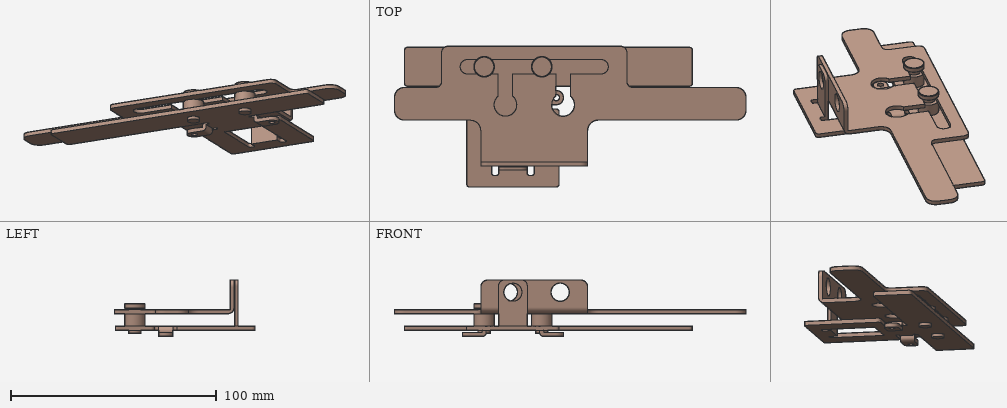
import cadquery as cq
import math

SHEET = 2.0
SPACER_HEIGHT = 6.0
SLIDE_BOTTOM = SHEET + SPACER_HEIGHT
SLIDE_TOP = SLIDE_BOTTOM + SHEET
UPRIGHT_TOP = 24.5

SLIDE_HALF_WIDTH = 45.0
WING_LEFT = -68.0
WING_LENGTH = 171.0
WING_RIGHT = WING_LEFT + WING_LENGTH
WING_REAR = -20.0
WING_FRONT = -36.0
WING_RADIUS = 5.0
REAR_CORNER_RADIUS = 3.0
FLANGE_HALF_WIDTH = 26.0
FLANGE_FACE = -58.25
BEND_RADIUS = 3.0
FLANGE_CORNER_RADIUS = 3.5
FLANGE_HOLE_SPACING = 25.2
EAR_HOLE_DIAMETER = 8.75
EAR_HOLE_DROP = 6.0

SLOT_LENGTH = 72.0
SLOT_WIDTH = 7.0
KEYHOLE_SPACING = 28.0
KEYHOLE_DIAMETER = 11.0
KEYHOLE_Y = -28.5

BASE_CENTER_X = -10.35
BASE_REAR = -0.5
BASE_LENGTH = 68.0
BASE_FRONT = BASE_REAR - BASE_LENGTH
STRIP_WIDTH = 19.0
STRIP_LENGTH = 140.0
STRIP_OVERHANG = 52.75
STRIP_LEFT = BASE_CENTER_X - STRIP_OVERHANG
PAD_WIDTH = 45.0
PAD_REAR = -30.5
BASE_CORNER_RADIUS = 1.5
ARM_HALF_WIDTH = 12.0

TAB_WIDTH = 14.0
TAB_GAP = 0.25
TAB_REAR = FLANGE_FACE - TAB_GAP
TAB_THICKNESS = 1.75
TAB_CORNER_RADIUS = 3.0
RELIEF_WIDTH = 3.25
RELIEF_FRONT = -62.8
RELIEF_RADIUS = 1.0
WINDOW_WIDTH = TAB_WIDTH + 2 * RELIEF_WIDTH
WINDOW_REAR = TAB_REAR + UPRIGHT_TOP - SHEET

HOOK_WIDTH = 7.0
HOOK_Y = (BASE_REAR - STRIP_WIDTH + PAD_REAR) / 2
HOOK_REACH = 24.6
HOOK_UPPER_RADIUS = 3.0
HOOK_LOWER_RADIUS = 1.75
HOOK_HOLE_DIAMETER = 3.0

PIN_SPACING = KEYHOLE_SPACING
PIN_Y = BASE_REAR - STRIP_WIDTH / 2
PIN_DIAMETER = 10.0
PIN_NECK_DIAMETER = 6.0
PIN_TAIL = 1.5
HEAD_BOTTOM = 10.5
HEAD_TOP = 13.0
HEAD_CHAMFER = 0.3
PIN_XS = [BASE_CENTER_X + side * PIN_SPACING / 2 for side in (-1, 1)]


def block(x0, x1, y0, y1, z0, z1):
    """Axis-aligned box between two opposite corners."""
    return cq.Workplane("XY").box(x1 - x0, y1 - y0, z1 - z0, centered=False).translate((x0, y0, z0))


def disc(x, y, z0, z1, diameter):
    """Vertical cylinder from z0 to z1."""
    return cq.Workplane("XY").workplane(offset=z0).center(x, y).circle(diameter / 2).extrude(z1 - z0)


def round_corners(plate, corners, radius, z):
    """Fillet the upright edges nearest to the given (x, y) corners at height z."""
    for x, y in corners:
        corner_edge = cq.selectors.NearestToPointSelector((x, y, z))
        plate = plate.edges("|Z").edges(corner_edge).fillet(radius)
    return plate


def upright(center_x, width, front, rear, bottom, corner_radius):
    """Standing sheet with rounded top corners."""
    sheet = block(center_x - width / 2, center_x + width / 2, front, rear, bottom, UPRIGHT_TOP)
    return sheet.edges("|Y and >Z").fillet(corner_radius)


def ear_hole(x):
    """Cutter for a hole along Y through an upright."""
    profile = cq.Workplane("XZ").center(x, UPRIGHT_TOP - EAR_HOLE_DROP).circle(EAR_HOLE_DIAMETER / 2)
    return profile.extrude(BASE_LENGTH)


def make_slide_outline():
    """Flat part of the slide plate: rear body, two wings and a neck to the flange."""
    body = block(-SLIDE_HALF_WIDTH, SLIDE_HALF_WIDTH, WING_FRONT, 0, SLIDE_BOTTOM, SLIDE_TOP)
    wings = block(WING_LEFT, WING_RIGHT, WING_FRONT, WING_REAR, SLIDE_BOTTOM, SLIDE_TOP)
    neck = block(-FLANGE_HALF_WIDTH, FLANGE_HALF_WIDTH, FLANGE_FACE, WING_FRONT, SLIDE_BOTTOM, SLIDE_TOP)
    plate = body.union(wings).union(neck).clean()

    rear_corners = [(x, y) for x in (-SLIDE_HALF_WIDTH, SLIDE_HALF_WIDTH) for y in (0, WING_REAR)]
    wing_corners = [(x, y) for x in (WING_LEFT, WING_RIGHT) for y in (WING_REAR, WING_FRONT)]
    neck_corners = [(x, WING_FRONT) for x in (-FLANGE_HALF_WIDTH, FLANGE_HALF_WIDTH)]
    middle = (SLIDE_BOTTOM + SLIDE_TOP) / 2
    plate = round_corners(plate, rear_corners, REAR_CORNER_RADIUS, middle)
    return round_corners(plate, wing_corners + neck_corners, WING_RADIUS, middle)


def make_slot_cutter():
    """Long slot with two keyholes branching off toward the front."""
    cutter = (
        cq.Workplane("XY")
        .workplane(offset=SLIDE_BOTTOM)
        .center(0, PIN_Y)
        .slot2D(SLOT_LENGTH, SLOT_WIDTH)
        .extrude(SHEET)
    )
    for side in (-1, 1):
        x = side * KEYHOLE_SPACING / 2
        branch = block(x - SLOT_WIDTH / 2, x + SLOT_WIDTH / 2, KEYHOLE_Y, PIN_Y, SLIDE_BOTTOM, SLIDE_TOP)
        cutter = cutter.union(branch)
        cutter = cutter.union(disc(x, KEYHOLE_Y, SLIDE_BOTTOM, SLIDE_TOP, KEYHOLE_DIAMETER))
    return cutter


def make_slide_plate():
    flange_rear = FLANGE_FACE + SHEET
    flange_width = 2 * FLANGE_HALF_WIDTH
    flange = upright(0, flange_width, FLANGE_FACE, flange_rear, SLIDE_BOTTOM, FLANGE_CORNER_RADIUS)
    plate = make_slide_outline().union(flange)

    outer_edge = cq.selectors.NearestToPointSelector((0, FLANGE_FACE, SLIDE_BOTTOM))
    plate = plate.edges("|X").edges(outer_edge).fillet(BEND_RADIUS)

    plate = plate.cut(make_slot_cutter())
    for side in (-1, 1):
        plate = plate.cut(ear_hole(side * FLANGE_HOLE_SPACING / 2))
    return plate


def make_base_outline():
    """Flat base: a long rear strip joined to the front pad by a narrower neck."""
    pad_left = BASE_CENTER_X - PAD_WIDTH / 2
    pad_right = BASE_CENTER_X + PAD_WIDTH / 2
    arm_left = BASE_CENTER_X - ARM_HALF_WIDTH
    arm_right = BASE_CENTER_X + ARM_HALF_WIDTH
    strip_right = STRIP_LEFT + STRIP_LENGTH
    strip_front = BASE_REAR - STRIP_WIDTH

    strip = block(STRIP_LEFT, strip_right, strip_front, BASE_REAR, 0, SHEET)
    neck = block(arm_left, arm_right, PAD_REAR, strip_front, 0, SHEET)
    pad = block(pad_left, pad_right, BASE_FRONT, PAD_REAR, 0, SHEET)
    plate = strip.union(neck).union(pad)

    strip_corners = [(x, y) for x in (STRIP_LEFT, strip_right) for y in (BASE_REAR, strip_front)]
    pad_corners = [(x, y) for x in (pad_left, pad_right) for y in (PAD_REAR, BASE_FRONT)]
    return round_corners(plate, strip_corners + pad_corners, BASE_CORNER_RADIUS, SHEET / 2)


def make_window_cutter():
    """Opening left by the bent-up tab, with a relief slot on each side of it."""
    left = BASE_CENTER_X - WINDOW_WIDTH / 2
    right = BASE_CENTER_X + WINDOW_WIDTH / 2
    cutter = block(left, right, TAB_REAR, WINDOW_REAR, 0, SHEET)
    for x in (left, right - RELIEF_WIDTH):
        relief = block(x, x + RELIEF_WIDTH, RELIEF_FRONT, TAB_REAR, 0, SHEET)
        cutter = cutter.union(relief.edges("|Z and <Y").fillet(RELIEF_RADIUS))
    return cutter


def make_hook(side):
    """Hook on one side (-1 or 1): bent down from the neck, then out to a rounded foot with a hole."""
    leg_outer = ARM_HALF_WIDTH + HOOK_UPPER_RADIUS
    leg_inner = leg_outer - SHEET
    foot_center = HOOK_REACH - HOOK_WIDTH / 2
    foot_top = SHEET - HOOK_UPPER_RADIUS
    foot_bottom = foot_top - SHEET

    diagonal = math.sqrt(0.5)
    lower_offset = HOOK_LOWER_RADIUS * (1 - diagonal)
    lower_mid = (leg_inner + lower_offset, foot_bottom + lower_offset)
    upper_offset = HOOK_UPPER_RADIUS * (1 - diagonal)
    upper_mid = (leg_outer - upper_offset, SHEET - upper_offset)

    hook = (
        cq.Workplane("XZ", origin=(0, HOOK_Y, 0))
        .moveTo(ARM_HALF_WIDTH, 0)
        .lineTo(leg_inner, 0)
        .lineTo(leg_inner, foot_bottom + HOOK_LOWER_RADIUS)
        .threePointArc(lower_mid, (leg_inner + HOOK_LOWER_RADIUS, foot_bottom))
        .lineTo(foot_center, foot_bottom)
        .lineTo(foot_center, foot_top)
        .lineTo(leg_outer, foot_top)
        .threePointArc(upper_mid, (ARM_HALF_WIDTH, SHEET))
        .close()
        .extrude(HOOK_WIDTH / 2, both=True)
    )
    hook = hook.union(disc(foot_center, HOOK_Y, foot_bottom, foot_top, HOOK_WIDTH))
    hook = hook.cut(disc(foot_center, HOOK_Y, foot_bottom, foot_top, HOOK_HOLE_DIAMETER))
    if side < 0:
        hook = hook.mirror("YZ")
    return hook.translate((BASE_CENTER_X, 0, 0))


def cut_hook_notches(plate, side):
    """Round the ends of the two gaps that part a hook from the strip and the pad."""
    gap = (BASE_REAR - STRIP_WIDTH - PAD_REAR - HOOK_WIDTH) / 2
    x = BASE_CENTER_X + side * ARM_HALF_WIDTH
    for direction in (-1, 1):
        y = HOOK_Y + direction * (HOOK_WIDTH + gap) / 2
        plate = plate.cut(disc(x, y, 0, SHEET, gap))
    return plate


def make_base_plate():
    plate = make_base_outline().cut(make_window_cutter())
    tab_front = TAB_REAR - TAB_THICKNESS
    tab = upright(BASE_CENTER_X, TAB_WIDTH, tab_front, TAB_REAR, 0, TAB_CORNER_RADIUS)
    plate = plate.union(tab.cut(ear_hole(BASE_CENTER_X)))
    for side in (-1, 1):
        plate = cut_hook_notches(plate, side)
        plate = plate.union(make_hook(side))
    for x in PIN_XS:
        plate = plate.cut(disc(x, PIN_Y, 0, SHEET, PIN_NECK_DIAMETER))
    return plate


def make_pin(x):
    """Headed pin: tail through the base, spacer between the plates, neck and head above."""
    pin = disc(x, PIN_Y, -PIN_TAIL, HEAD_TOP, PIN_NECK_DIAMETER)
    pin = pin.union(disc(x, PIN_Y, SHEET, SLIDE_BOTTOM, PIN_DIAMETER))
    head = disc(x, PIN_Y, HEAD_BOTTOM, HEAD_TOP, PIN_DIAMETER)
    return pin.union(head.faces("|Z").chamfer(HEAD_CHAMFER))


slide_plate = make_slide_plate()
base_plate = make_base_plate()
pins = [make_pin(x) for x in PIN_XS]

result = cq.Compound.makeCompound([slide_plate.val(), base_plate.val(), *[pin.val() for pin in pins]])